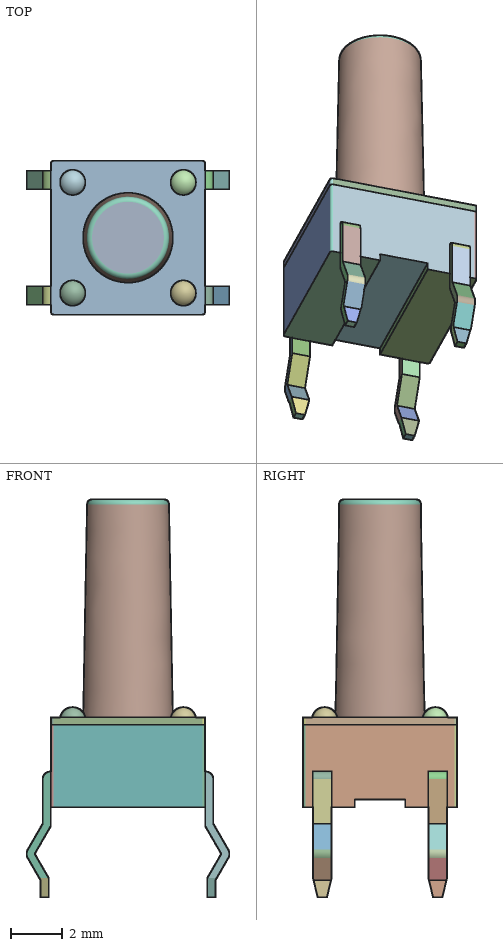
import cadquery as cq
import math


housing_width = 6.0
housing_height = 3.5
corner_radius = 0.1
cover_thickness = 0.3
base_height = housing_height - cover_thickness

groove_width = 1.95
groove_depth = 0.3

dome_diameter = 1.0
dome_height = 0.4
dome_spacing = 4.31

plunger_base_diameter = 3.5
plunger_top_diameter = 3.2
plunger_height = 8.5
plunger_edge_radius = 0.2

pin_span = 7.9
pin_thickness = 0.33
pin_width = 0.73
pin_spacing = 4.5
pin_depth = 3.5
pin_shoulder_height = 1.4
pin_shoulder_radius = 0.3
pin_foot_inner_x = 3.08
knee_z = -1.81
bend_angle = math.radians(30)
taper_start_z = -2.76
tip_width = 0.37


def square_block(height, bottom_z):
    """Square block with rounded vertical edges."""
    return (
        cq.Workplane("XY")
        .workplane(offset=bottom_z)
        .rect(housing_width, housing_width)
        .extrude(height)
        .edges("|Z")
        .fillet(corner_radius)
    )


def make_base():
    groove = cq.Workplane("XY").box(
        housing_width, groove_width, groove_depth, centered=(True, True, False)
    )
    return square_block(base_height, 0).cut(groove)


def make_cover():
    cover = square_block(cover_thickness, base_height)
    dome_radius = dome_diameter / 2
    sphere_center_z = housing_height + dome_height - dome_radius
    domes = (
        cq.Workplane("XY")
        .workplane(offset=sphere_center_z)
        .rarray(dome_spacing, dome_spacing, 2, 2)
        .sphere(dome_radius)
    )
    above_base = square_block(cover_thickness + dome_height, base_height)
    return cover.union(domes.intersect(above_base))


def make_plunger():
    top_z = housing_height + plunger_height
    return (
        cq.Workplane("XZ")
        .moveTo(0, housing_height)
        .lineTo(plunger_base_diameter / 2, housing_height)
        .lineTo(plunger_top_diameter / 2, top_z)
        .lineTo(0, top_z)
        .close()
        .revolve(360, (0, 0, 0), (0, 1, 0))
        .faces(">Z")
        .edges()
        .fillet(plunger_edge_radius)
    )


def pin_strip():
    """Bent strip of the pin on the +X side, centred on y = 0."""
    inner_x = housing_width / 2
    outer_x = inner_x + pin_thickness
    foot_outer_x = pin_foot_inner_x + pin_thickness
    knee_outer_x = pin_span / 2
    knee_inner_x = knee_outer_x - pin_thickness

    slope = math.tan(bend_angle)
    miter = pin_thickness * math.tan(bend_angle / 2)
    upper_bend_z = knee_z + (knee_inner_x - inner_x) / slope
    lower_bend_z = knee_z - (knee_inner_x - pin_foot_inner_x) / slope

    arc_end_x = knee_inner_x + pin_thickness * math.cos(bend_angle)
    arc_rise = pin_thickness * math.sin(bend_angle)

    shoulder_center_x = outer_x - pin_shoulder_radius
    shoulder_center_z = pin_shoulder_height - pin_shoulder_radius
    shoulder_mid_x = shoulder_center_x + pin_shoulder_radius * math.sqrt(0.5)
    shoulder_mid_z = shoulder_center_z + pin_shoulder_radius * math.sqrt(0.5)

    return (
        cq.Workplane("XZ")
        .moveTo(inner_x, pin_shoulder_height)
        .lineTo(inner_x, upper_bend_z)
        .lineTo(knee_inner_x, knee_z)
        .lineTo(pin_foot_inner_x, lower_bend_z)
        .lineTo(pin_foot_inner_x, -pin_depth)
        .lineTo(foot_outer_x, -pin_depth)
        .lineTo(foot_outer_x, lower_bend_z - miter)
        .lineTo(arc_end_x, knee_z - arc_rise)
        .threePointArc((knee_outer_x, knee_z), (arc_end_x, knee_z + arc_rise))
        .lineTo(outer_x, upper_bend_z + miter)
        .lineTo(outer_x, shoulder_center_z)
        .threePointArc((shoulder_mid_x, shoulder_mid_z), (shoulder_center_x, pin_shoulder_height))
        .close()
        .extrude(pin_width / 2, both=True)
    )


def make_pin():
    """Bent strip with its foot tapered to a narrow tip."""
    width_outline = (
        cq.Workplane("YZ")
        .moveTo(-pin_width / 2, pin_shoulder_height)
        .lineTo(-pin_width / 2, taper_start_z)
        .lineTo(-tip_width / 2, -pin_depth)
        .lineTo(tip_width / 2, -pin_depth)
        .lineTo(pin_width / 2, taper_start_z)
        .lineTo(pin_width / 2, pin_shoulder_height)
        .close()
        .extrude(pin_span / 2)
    )
    return pin_strip().intersect(width_outline)


base = make_base()
cover = make_cover()
plunger = make_plunger()

pins = []
for turn in (0, 180):
    for side in (-1, 1):
        pin = make_pin().translate((0, side * pin_spacing / 2, 0))
        pins.append(pin.rotate((0, 0, 0), (0, 0, 1), turn).solids().val())

result = cq.Compound.makeCompound([base.val(), cover.val(), plunger.val(), *pins])